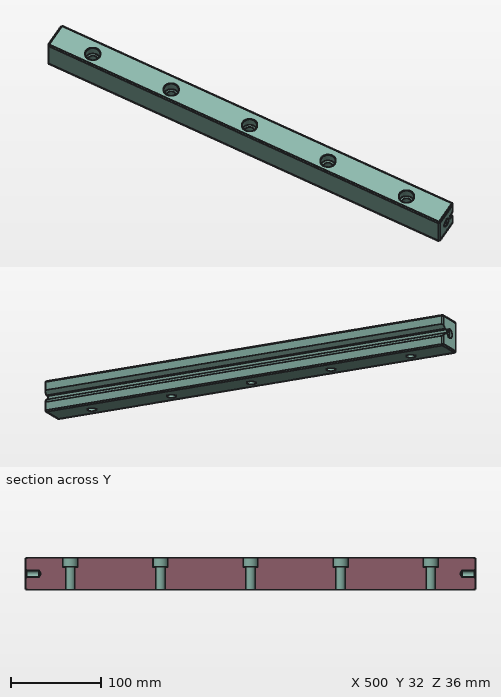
import cadquery as cq
import math

length = 500.0
width = 32.0
height = 36.0
edge_chamfer = 1.5
end_chamfer = 1.5

vee_opening = 14.0
relief_width = 5.0
relief_depth = 8.0

hole_count = 5
hole_pitch = length / hole_count
hole_y = -2.0
hole_diameter = 10.5
counterbore_diameter = 16.5
counterbore_depth = 10.5
mouth_chamfer = 0.5
mouth_chamfer_angle = 45

end_hole_diameter = 7.0
end_hole_depth = 15.0
end_countersink_diameter = 10.5
countersink_angle = 90
drill_point_angle = 118


def rail_body():
    """Bar with all long edges and the edges of both ends chamfered."""
    bar = cq.Workplane("XY").box(length, width, height)
    bar = bar.edges("|X").chamfer(edge_chamfer)
    return bar.faces("<X or >X").chamfer(end_chamfer)


def roller_track():
    """Cutter for the vee and the relief slot, running the full length."""
    side = width / 2
    half_opening = vee_opening / 2
    half_relief = relief_width / 2
    vee_root = side - (half_opening - half_relief)
    relief_floor = side - relief_depth
    return (
        cq.Workplane("YZ", origin=(-length / 2, 0, 0))
        .polyline([
            (side, half_opening),
            (vee_root, half_relief),
            (relief_floor, half_relief),
            (relief_floor, -half_relief),
            (vee_root, -half_relief),
            (side, -half_opening),
        ])
        .close()
        .extrude(length)
    )


def drill_mounting_holes(rail):
    """Counterbored through holes whose mouths on the top face are lightly chamfered."""
    mouth_diameter = counterbore_diameter + 2 * mouth_chamfer
    hole_row = cq.Workplane("XY", origin=(0, hole_y, height / 2))
    mouths = (
        hole_row.rarray(hole_pitch, 5, hole_count, 1)
        .circle(mouth_diameter / 2)
        .extrude(-mouth_chamfer, taper=mouth_chamfer_angle)
    )
    return (
        rail.copyWorkplane(hole_row)
        .rarray(hole_pitch, 5, hole_count, 1)
        .cboreHole(hole_diameter, counterbore_diameter, counterbore_depth)
        .cut(mouths)
    )


def end_hole():
    """Cutter along +X from the -X face: countersink, straight bore and conical drill point."""
    bore_radius = end_hole_diameter / 2
    mouth_radius = end_countersink_diameter / 2
    countersink_depth = (mouth_radius - bore_radius) / math.tan(math.radians(countersink_angle / 2))
    point_length = bore_radius / math.tan(math.radians(drill_point_angle / 2))
    start = -length / 2
    return (
        cq.Workplane("XY")
        .polyline([
            (start, 0),
            (start, mouth_radius),
            (start + countersink_depth, bore_radius),
            (start + end_hole_depth, bore_radius),
            (start + end_hole_depth + point_length, 0),
        ])
        .close()
        .revolve(360, (0, 0, 0), (1, 0, 0))
    )


rail = rail_body().cut(roller_track())
rail = drill_mounting_holes(rail)
result = rail.cut(end_hole()).cut(end_hole().mirror("YZ"))